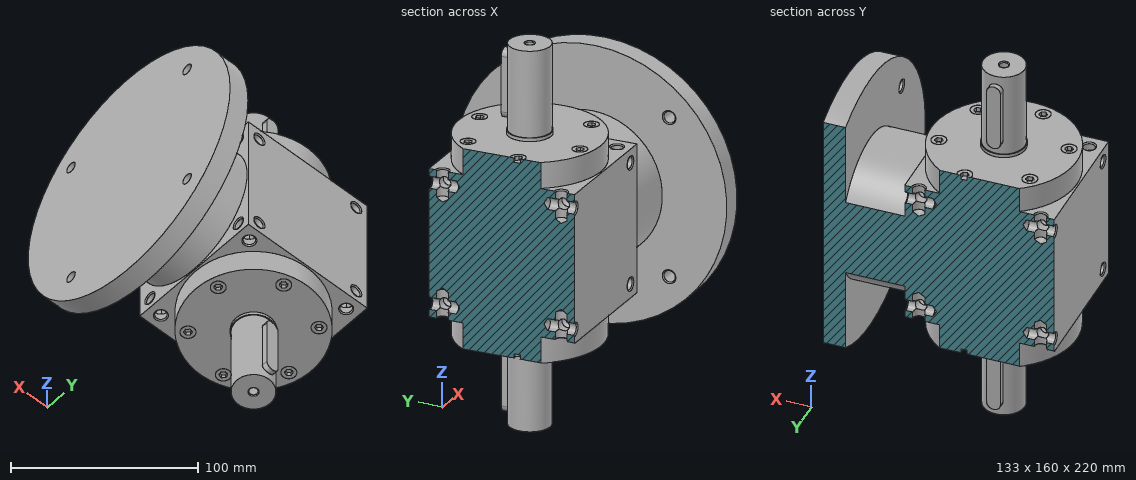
import cadquery as cq
import math

cube_size = 86.0
half_cube = cube_size / 2

cover_diameter = 84.0
cover_height = 15.0
cover_face = half_cube + cover_height

neck_diameter = 84.0
flange_diameter = 160.0
flange_thickness = 13.0
flange_outer_face = 90.0
flange_inner_face = flange_outer_face - flange_thickness
flange_bolt_circle = 130.0
flange_hole_diameter = 6.65
flange_hole_mouth = 8.0
flange_hole_count = 4
flange_start_angle = 45.0

mount_pitch = 70.0
mount_hole_diameter = 6.65
mount_hole_mouth = 8.0
mount_hole_depth = 16.0
drill_point_angle = 118.0

screw_circle_radius = 35.0
screw_count = 6
screw_start_angle = 15.0
screw_head_diameter = 8.5
screw_recess = 0.1
socket_width = 4.0
socket_depth = 2.5
socket_turn = 30.0

shaft_diameter = 24.0
shaft_radius = shaft_diameter / 2
shaft_length = 220.0
shaft_end = shaft_length / 2
shoulder_diameter = 25.0
shoulder_height = 2.0
shoulder_end = cover_face + shoulder_height
center_hole_diameter = 4.92
center_hole_mouth = 6.0
center_hole_depth = 16.0

key_width = 8.0
key_height = 7.0
key_length = 40.0
key_projection = 3.0
key_end_gap = 5.0
key_top = shaft_radius + key_projection
key_bottom = key_top - key_height
key_center_z = shaft_end - key_end_gap - key_length / 2

CUBE_FACES = ["<X", ">X", "<Y", ">Y", "<Z", ">Z"]


def face_plane(axis_name):
    """Outward-facing plane at the middle of one cube face."""
    normal = [0, 0, 0]
    normal["XYZ".index(axis_name[1])] = 1 if axis_name[0] == ">" else -1
    x_direction = (1, 0, 0) if axis_name[1] != "X" else (0, 1, 0)
    origin = tuple(half_cube * n for n in normal)
    return cq.Plane(origin=origin, xDir=x_direction, normal=tuple(normal))


def drilled_hole(diameter, mouth, depth):
    """Cutter going down from Z = 0 with a 45 degree countersink and a drill point."""
    radius = diameter / 2
    mouth_radius = mouth / 2
    point_height = radius / math.tan(math.radians(drill_point_angle / 2))
    profile = [
        (0, 0),
        (mouth_radius, 0),
        (radius, radius - mouth_radius),
        (radius, -depth),
        (0, -depth - point_height),
    ]
    return cq.Workplane("XZ").polyline(profile).close().revolve(360, (0, 0), (0, 1)).val()


def mount_holes(axis_name):
    """Four hole cutters on one cube face."""
    cutter = drilled_hole(mount_hole_diameter, mount_hole_mouth, mount_hole_depth)
    return (
        cq.Workplane(face_plane(axis_name))
        .rect(mount_pitch, mount_pitch, forConstruction=True)
        .vertices()
        .eachpoint(lambda place: cutter.moved(place), useLocalCoordinates=True)
    )


def cover_screws():
    """Shallow head recesses and sockets in the upper cover."""
    places = cq.Workplane("XY").polarArray(screw_circle_radius, screw_start_angle, 360, screw_count)
    hexagon = cq.Sketch().regularPolygon(socket_width / math.sqrt(3), 6, socket_turn)
    heads = places.circle(screw_head_diameter / 2).extrude(screw_recess)
    sockets = places.placeSketch(hexagon).extrude(socket_depth)
    heads = heads.translate((0, 0, cover_face - screw_recess))
    sockets = sockets.translate((0, 0, cover_face - socket_depth))
    return heads.union(sockets)


def make_flange_holes():
    """Through holes in the flange, countersunk on the side facing the cube."""
    cutter = drilled_hole(flange_hole_diameter, flange_hole_mouth, flange_thickness).mirror("XY")
    return (
        cq.Workplane("YZ", origin=(flange_inner_face, 0, 0))
        .polarArray(flange_bolt_circle / 2, flange_start_angle, 360, flange_hole_count)
        .eachpoint(lambda place: cutter.moved(place), useLocalCoordinates=True)
    )


def make_housing():
    """Cube with its covers, neck and flange, bored through for the shaft."""
    body = cq.Workplane("XY").box(cube_size, cube_size, cube_size)
    covers = cq.Workplane("XY").circle(cover_diameter / 2).extrude(cover_face, both=True)
    neck = cq.Workplane("YZ").circle(neck_diameter / 2).extrude(flange_inner_face)
    flange = (
        cq.Workplane("YZ", origin=(flange_inner_face, 0, 0))
        .circle(flange_diameter / 2)
        .extrude(flange_thickness)
    )
    flange_holes = make_flange_holes()
    body = body.union(covers).union(neck).union(flange).cut(flange_holes)
    for axis_name in CUBE_FACES:
        body = body.cut(mount_holes(axis_name))
    screws = cover_screws()
    body = body.cut(screws).cut(screws.mirror("XY"))
    bore = cq.Workplane("XY").circle(shoulder_diameter / 2).extrude(cover_face, both=True)
    return body.cut(bore)


def make_key():
    """Round-ended key on the upper shaft end."""
    return (
        cq.Workplane("XZ", origin=(0, key_bottom, key_center_z))
        .slot2D(key_length, key_width, 90)
        .extrude(-key_height)
    )


def make_shaft(keys):
    """Shaft through the whole housing, with a keyway for each key."""
    shaft = cq.Workplane("XY").circle(shaft_radius).extrude(shaft_end, both=True)
    shoulder = cq.Workplane("XY").circle(shoulder_diameter / 2).extrude(shoulder_end, both=True)
    center_hole = cq.Workplane(
        drilled_hole(center_hole_diameter, center_hole_mouth, center_hole_depth)
    ).translate((0, 0, shaft_end))
    shaft = shaft.union(shoulder).cut(center_hole).cut(center_hole.mirror("XY"))
    for key in keys:
        shaft = shaft.cut(key)
    return shaft


upper_key = make_key()
keys = [upper_key, upper_key.mirror("XY")]
shaft = make_shaft(keys)
housing = make_housing()

result = cq.Compound.makeCompound([housing.val(), shaft.val(), *[key.val() for key in keys]])